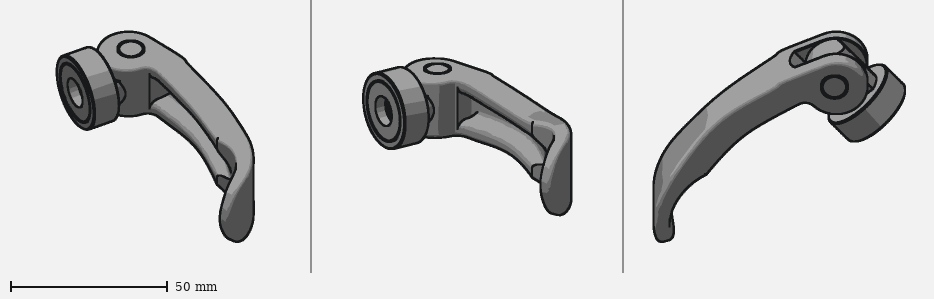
import cadquery as cq
import math


clearance_length = 188.2
flat_tolerance = 0.01

head_radius = 10.1
head_center_y = -0.8
head_half_width = 10.1
head_slope = 17.5
head_bottom_left = 225.0
head_end = -3.0

arm_start = (13.2, 2.2)
arm_start_slope = 10.0
arm_end_slope = -9.0
arm_crest_y = 4.1
arm_underside = [(22.6, 3.4), (33.9, arm_crest_y), (42.3, 3.6)]
cusp = (52.7, 2.1)
spoon_underside = [(59.3, 3.0), (65.9, 1.6), (73.0, -3.4), (77.8, -12.7)]
back_end = (82.7, -11.6)
back = [(76.6, 0.4), (66.8, 7.7), (50.8, 12.6), (31.05, 14.6), (13.6, 13.0)]
back_end_slope = 110.0

flank_start_x = 10.35
flank = [(22.6, 9.2), (33.9, 8.4), (47.0, 9.1), (58.3, 11.3)]
spoon_half_width = 12.5
spoon_full_width_x = 70.6

tip_point = (80.0, -10.5)
tip_slope = -66.0
tip_corner_start = 10.35
tip_corner = (1.7, 6.6)

edge_fillet = 1.5

trough_start_x = 10.8
trough_start_half_width = 4.3
trough_wall = [(22.6, 3.2), (33.9, 2.6), (47.0, 3.2), (52.7, 3.8)]
trough_end = (62.1, 2.4)
trough_floor_start = (6.1, 6.6)
trough_floor = [(22.6, 8.1), (33.9, 8.7), (47.0, 7.5), (54.6, 5.2), (62.1, 2.4)]
trough_open_y = -28.2
trough_floor_fillet = 2.35
trough_mouth_fillet = 2.6

disc_radius = 12.5
disc_top = -11.0
disc_thickness = 9.4
disc_bottom = disc_top - disc_thickness
disc_chamfer = 0.4
groove_radius = 10.1
groove_size = 0.5
post_radius = 8.2
post_half_width = 4.7
post_crown_radius = 9.9
counterbore_radius = 4.9
counterbore_depth = 3.8
bore_mouth_radius = 3.9
bore_radius = 3.4
bore_depth = 13.2
drill_tip_angle = 118.0

slot_gap = 0.1
slot_half_width = post_half_width + slot_gap
slot_end_radius = post_radius + slot_gap
slot_chamfer = 0.3

pin_radius = 4.3
pin_chamfer = 0.6


def direction(angle):
    """Unit vector at an angle in degrees."""
    return (math.cos(math.radians(angle)), math.sin(math.radians(angle)))


def head_point(angle):
    """Point on the head circle at an angle in degrees."""
    along_x, along_y = direction(angle)
    return (head_radius * along_x, head_radius * along_y + head_center_y)


def mirrored(points):
    """The same points on the -Z side, in reverse order."""
    return [(x, -z) for x, z in reversed(points)]


def side_plane():
    return cq.Workplane("XY", origin=(0, 0, -clearance_length / 2))


def plan_plane():
    return cq.Workplane("XZ", origin=(0, clearance_length / 2, 0))


def side_blank():
    """Round head, arched arm and curled spoon as they show along the pivot axis."""
    back_start = head_point(90 + head_slope)
    return (
        side_plane()
        .moveTo(*back_start)
        .threePointArc(head_point(head_bottom_left), head_point(head_end))
        .tangentArcPoint(arm_start, relative=False)
        .spline(
            arm_underside + [cusp],
            tangents=[direction(arm_start_slope), direction(arm_end_slope)],
            includeCurrent=True,
        )
        .spline(spoon_underside, includeCurrent=True)
        .lineTo(*back_end)
        .spline(
            back + [back_start],
            tangents=[direction(back_end_slope), direction(180 + head_slope)],
            includeCurrent=True,
        )
        .close()
        .extrude(clearance_length)
    )


def plan_blank():
    """Parallel head, waisted arm and wider spoon as they show along Y."""
    head_corner = (-2 * head_radius, head_half_width)
    flank_start = (flank_start_x, head_half_width)
    flank_end = (spoon_full_width_x, spoon_half_width)
    return (
        plan_plane()
        .moveTo(head_corner[0], -head_corner[1])
        .lineTo(*head_corner)
        .lineTo(*flank_start)
        .spline(flank + [flank_end], tangents=[(1, 0), (1, 0)], includeCurrent=True)
        .lineTo(clearance_length, spoon_half_width)
        .lineTo(clearance_length, -spoon_half_width)
        .lineTo(flank_end[0], -flank_end[1])
        .spline(mirrored([flank_start] + flank), tangents=[(-1, 0), (-1, 0)], includeCurrent=True)
        .close()
        .extrude(clearance_length)
    )


def tip_blank():
    """Rounded tip, extruded square to the direction in which the spoon ends."""
    along_x, along_y = direction(tip_slope)
    half = clearance_length / 2
    plane = cq.Plane(
        origin=(tip_point[0] - along_y * half, tip_point[1] + along_x * half, 0),
        xDir=(along_x, along_y, 0),
        normal=(along_y, -along_x, 0),
    )
    back_off, corner_z = tip_corner
    return (
        cq.Workplane(plane)
        .moveTo(-clearance_length, spoon_half_width)
        .lineTo(-tip_corner_start, spoon_half_width)
        .spline([(-back_off, corner_z), (0, 0)], tangents=[(1, 0), (0, -1)], includeCurrent=True)
        .spline(
            [(-back_off, -corner_z), (-tip_corner_start, -spoon_half_width)],
            tangents=[(0, -1), (-1, 0)],
            includeCurrent=True,
        )
        .lineTo(-clearance_length, -spoon_half_width)
        .close()
        .extrude(clearance_length)
    )


def lever_blank():
    """Lever body with its outer rim rounded; the rim edges are the curved ones."""
    blank = side_blank().intersect(plan_blank()).intersect(tip_blank())
    rim = [edge for edge in blank.edges().vals() if edge.geomType() != "LINE"]
    return blank.newObject(rim).fillet(edge_fillet)


def slot_cutter():
    """Flat slot, open toward -X, with a round end that clears the post."""
    round_end = plan_plane().circle(slot_end_radius).extrude(clearance_length)
    open_side = cq.Workplane("XY").box(clearance_length, clearance_length, clearance_length)
    open_side = open_side.translate((-clearance_length / 2, 0, 0))
    layer = cq.Workplane("XY").box(clearance_length, clearance_length, 2 * slot_half_width)
    return round_end.union(open_side).intersect(layer)


def trough_cutter():
    """Tapering trough with an arched floor that runs out in the spoon."""
    start = (trough_start_x, trough_start_half_width)
    outline = (
        plan_plane()
        .moveTo(start[0], -start[1])
        .lineTo(*start)
        .spline(trough_wall + [trough_end], includeCurrent=True)
        .lineTo(trough_end[0], -trough_end[1])
        .spline(mirrored([start] + trough_wall), includeCurrent=True)
        .close()
        .extrude(clearance_length)
    )
    below_floor = (
        side_plane()
        .moveTo(trough_floor_start[0], trough_open_y)
        .lineTo(*trough_floor_start)
        .spline(trough_floor, includeCurrent=True)
        .lineTo(trough_end[0], trough_open_y)
        .close()
        .extrude(clearance_length)
    )
    cutter = outline.intersect(below_floor)
    floor_edges = [
        edge
        for edge in cutter.edges().vals()
        if edge.geomType() != "LINE" and edge.positionAt(0.5).y > trough_end[1]
    ]
    return cutter.newObject(floor_edges).fillet(trough_floor_fillet)


def pin_cylinder():
    cylinder = cq.Workplane("XY", origin=(0, 0, -head_half_width))
    return cylinder.circle(pin_radius).extrude(2 * head_half_width)


def chamfer_slot(lever):
    """Break the curved outer edges of the two slot walls."""
    slot_edges = [
        edge
        for edge in lever.edges().vals()
        if edge.geomType() != "LINE"
        and edge.BoundingBox().zlen < flat_tolerance
        and abs(abs(edge.Center().z) - slot_half_width) < flat_tolerance
    ]
    return lever.newObject(slot_edges).chamfer(slot_chamfer)


def round_trough_mouth(lever):
    """Round the two long edges between the trough walls and the underside of the arm."""
    mouth_edges = []
    for edge in lever.edges().vals():
        middle = edge.positionAt(0.5)
        along_arm = arm_underside[0][0] < middle.x < trough_wall[2][0]
        inside_flanks = abs(middle.z) < trough_start_half_width
        at_underside = middle.y < arm_crest_y + flat_tolerance
        if along_arm and inside_flanks and at_underside:
            mouth_edges.append(edge)
    return lever.newObject(mouth_edges).fillet(trough_mouth_fillet)


def make_lever():
    lever = chamfer_slot(lever_blank().cut(slot_cutter()))
    lever = lever.cut(pin_cylinder()).cut(trough_cutter())
    return round_trough_mouth(lever)


def post():
    """Round post with two flats and a rounded top that follows the lever head."""
    column = cq.Workplane("XZ", origin=(0, disc_top, 0)).circle(post_radius)
    column = column.extrude(-post_crown_radius + disc_top)
    crown = cq.Workplane("XY", origin=(0, head_center_y, -post_half_width))
    crown = crown.circle(post_crown_radius).extrude(2 * post_half_width)
    stem_height = head_center_y - disc_top
    stem = cq.Workplane("XY").box(2 * post_radius, stem_height, 2 * post_half_width)
    stem = stem.translate((0, disc_top + stem_height / 2, 0))
    return column.intersect(crown.union(stem))


def revolved_about_y(points):
    return cq.Workplane("XY").polyline(points).close().revolve(360, (0, 0, 0), (0, 1, 0))


def face_groove():
    """V-shaped ring groove in the bottom face of the disc."""
    return revolved_about_y(
        [
            (groove_radius, disc_bottom),
            (groove_radius, disc_bottom + groove_size),
            (groove_radius - groove_size, disc_bottom),
        ]
    )


def foot_bore():
    """Counterbored blind bore with a chamfered mouth and a drill tip."""
    mouth_y = disc_bottom + counterbore_depth
    chamfer_end_y = mouth_y + bore_mouth_radius - bore_radius
    end_y = disc_bottom + bore_depth
    tip_height = bore_radius / math.tan(math.radians(drill_tip_angle / 2))
    return revolved_about_y(
        [
            (0, disc_bottom),
            (counterbore_radius, disc_bottom),
            (counterbore_radius, mouth_y),
            (bore_mouth_radius, mouth_y),
            (bore_radius, chamfer_end_y),
            (bore_radius, end_y),
            (0, end_y + tip_height),
        ]
    )


def make_foot():
    disc = cq.Workplane("XZ", origin=(0, disc_top, 0)).circle(disc_radius).extrude(disc_thickness)
    disc = disc.edges().chamfer(disc_chamfer)
    return disc.union(post()).cut(face_groove()).cut(foot_bore()).cut(pin_cylinder())


def make_pin():
    return pin_cylinder().edges().chamfer(pin_chamfer)


lever = make_lever()
foot = make_foot()
pin = make_pin()
result = cq.Compound.makeCompound([lever.solids().val(), foot.solids().val(), pin.solids().val()])